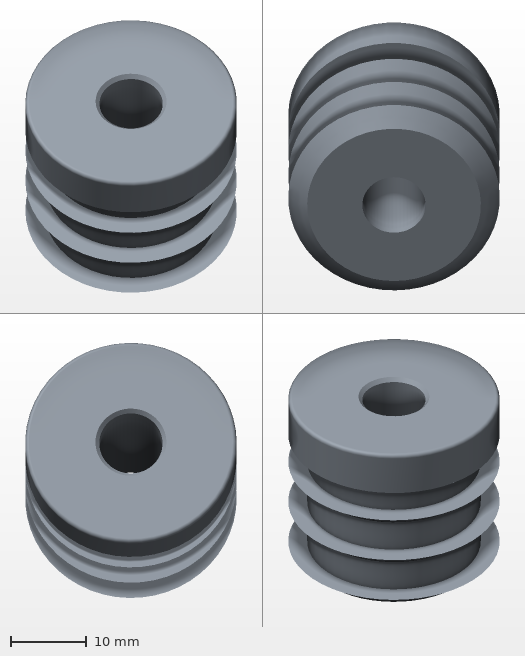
import cadquery as cq

outer_diameter = 28.0
total_height = 25.0

head_height = 6.0
head_fillet = 0.5

stem_diameter = 23.0
fin_count = 3
fin_height = 2.0
stem_height = total_height - head_height
fin_pitch = stem_height / fin_count

hole_diameter = 8.37
hole_chamfer = 0.5


def make_head():
    """Round cap with a rounded upper rim."""
    head = cq.Workplane("XY").workplane(offset=stem_height)
    head = head.circle(outer_diameter / 2).extrude(head_height)
    return head.faces(">Z").edges().fillet(head_fillet)


def make_fin(base_z):
    """Cone that widens upward from the stem to a sharp, flat-topped rim."""
    profile = [
        (0, base_z),
        (stem_diameter / 2, base_z),
        (outer_diameter / 2, base_z + fin_height),
        (0, base_z + fin_height),
    ]
    return cq.Workplane("XZ").polyline(profile).close().revolve(360, (0, 0), (0, 1))


stem = cq.Workplane("XY").circle(stem_diameter / 2).extrude(stem_height)
body = stem.union(make_head())

for index in range(fin_count):
    body = body.union(make_fin(index * fin_pitch))

body = body.faces(">Z").workplane(origin=(0, 0, total_height)).hole(hole_diameter)
hole_rim = cq.selectors.RadiusNthSelector(0)
result = body.faces(">Z").edges(hole_rim).chamfer(hole_chamfer)